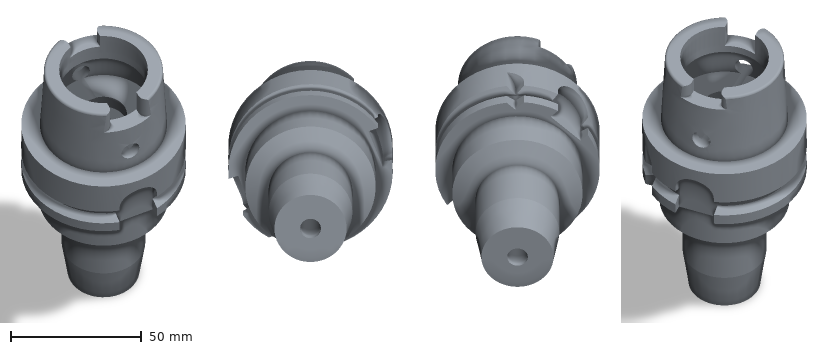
import cadquery as cq
import math

total_height = 117.0
nose_taper_top = 16.5
neck_top = 38.6
body_shoulder = 42.9
flange_bottom = 59.0
groove_lower_edge = 63.5
groove_floor_bottom = 64.9
groove_floor_top = 68.9
groove_upper_edge = 70.3
flange_top = 85.1

nose_radius = 13.8
neck_radius = 16.0
body_radius = 24.9
flange_radius = 31.5
groove_radius = 27.6
groove_ledge_radius = 28.5
shank_base_radius = 24.3
shank_taper = 1 / 20
shank_rim_round = 1.0

mouth_radius = 17.0
mouth_depth = 13.1
chamber_radius = 20.0
chamber_floor = 90.8
counterbore_radius = 9.0
counterbore_depth = 5.8
coolant_hole_radius = 4.0

cross_hole_radius = 3.7
cross_hole_height = 94.3

keyway_width = 12.5
keyway_flat_distance = 21.0
keyway_corner_radius = 3.0
shallow_keyway_depth = 6.1
deep_keyway_depth = 10.0

slot_width = 15.9
slot_top = 79.8
slot_floor_distance = 26.6
notch_floor_distance = 19.5
notch_wall_distance = 20.0
notch_width = 14.0

clearance = 5.8


def make_turned_body():
    shank_end_radius = shank_base_radius - shank_taper * (total_height - flange_top)
    profile = [
        (0, 0),
        (nose_radius, 0),
        (neck_radius, nose_taper_top),
        (neck_radius, neck_top),
        (body_radius, body_shoulder),
        (body_radius, flange_bottom),
        (flange_radius, flange_bottom),
        (flange_radius, groove_lower_edge),
        (groove_ledge_radius, groove_floor_bottom),
        (groove_radius, groove_floor_bottom),
        (groove_radius, groove_floor_top),
        (groove_ledge_radius, groove_floor_top),
        (flange_radius, groove_upper_edge),
        (flange_radius, flange_top),
        (shank_base_radius, flange_top),
        (shank_end_radius, total_height),
        (0, total_height),
    ]
    body = cq.Workplane("XZ").polyline(profile).close().revolve(360, (0, 0, 0), (0, 1, 0))
    return body.faces(">Z").edges().fillet(shank_rim_round)


def make_bore(radius, bottom, top):
    return cq.Workplane("XY").workplane(offset=bottom).circle(radius).extrude(top - bottom)


def make_keyway(side, depth):
    """Keyway on one X side, its walls rounding out into flats across the shank."""
    half_width = keyway_width / 2
    corner_start = keyway_flat_distance - keyway_corner_radius
    corner_end = half_width + keyway_corner_radius
    arc_offset = keyway_corner_radius * math.sqrt(0.5)
    arc_x = corner_start + arc_offset
    arc_y = corner_end - arc_offset
    outer_x = flange_radius
    return (
        cq.Workplane("XY")
        .workplane(offset=total_height - depth)
        .moveTo(0, -half_width)
        .lineTo(side * corner_start, -half_width)
        .threePointArc((side * arc_x, -arc_y), (side * keyway_flat_distance, -corner_end))
        .lineTo(side * keyway_flat_distance, -outer_x)
        .lineTo(side * outer_x, -outer_x)
        .lineTo(side * outer_x, outer_x)
        .lineTo(side * keyway_flat_distance, outer_x)
        .lineTo(side * keyway_flat_distance, corner_end)
        .threePointArc((side * arc_x, arc_y), (side * corner_start, half_width))
        .lineTo(0, half_width)
        .close()
        .extrude(depth + clearance)
    )


def make_flange_slot(side, center_y, width, floor_distance):
    """Round-topped slot, open at the flange bottom, with a flat floor facing along X."""
    half_width = width / 2
    arc_height = slot_top - half_width
    return (
        cq.Workplane("YZ")
        .workplane(offset=side * floor_distance)
        .moveTo(center_y - half_width, flange_bottom)
        .lineTo(center_y - half_width, arc_height)
        .threePointArc((center_y, slot_top), (center_y + half_width, arc_height))
        .lineTo(center_y + half_width, flange_bottom)
        .close()
        .extrude(side * (flange_radius + clearance - floor_distance))
    )


result = make_turned_body()

mouth_bottom = total_height - mouth_depth
result = result.cut(make_bore(mouth_radius, mouth_bottom, total_height))
result = result.cut(make_bore(chamber_radius, chamber_floor, mouth_bottom))
result = result.cut(make_bore(counterbore_radius, chamber_floor - counterbore_depth, chamber_floor))
result = result.cut(make_bore(coolant_hole_radius, 0, chamber_floor))

cross_hole = (
    cq.Workplane("YZ")
    .center(0, cross_hole_height)
    .circle(cross_hole_radius)
    .extrude(flange_radius, both=True)
)
result = result.cut(cross_hole)

for side, depth in ((-1, shallow_keyway_depth), (1, deep_keyway_depth)):
    result = result.cut(make_keyway(side, depth))

for side in (-1, 1):
    result = result.cut(make_flange_slot(side, 0, slot_width, slot_floor_distance))

notch_center = notch_wall_distance + notch_width / 2
result = result.cut(make_flange_slot(-1, notch_center, notch_width, notch_floor_distance))